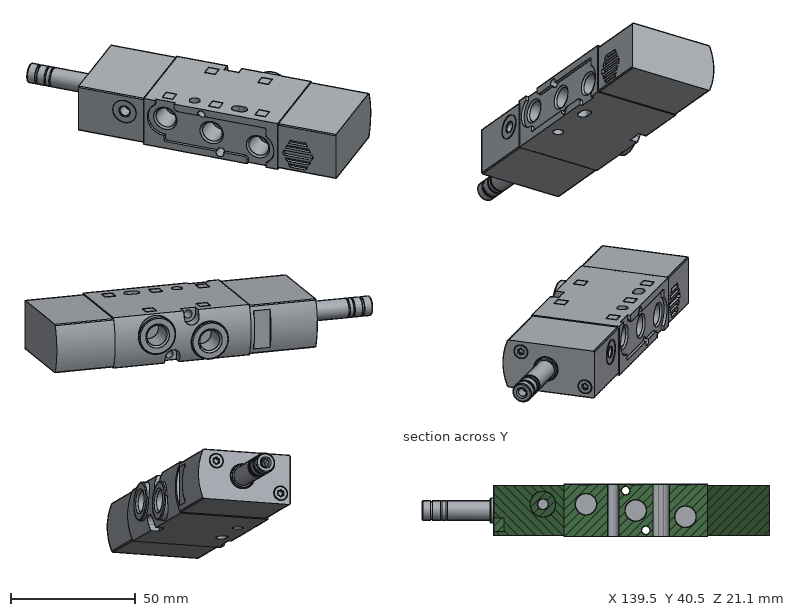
import cadquery as cq
import math


overall_length = 139.5
overall_depth = 40.5
body_length = 57.8
body_height = 21.1
pilot_length = 28.2
cap_length = 24.8
back_apex = 39.5
back_sag = 2.2

end_inset = 0.4
end_edge_chamfer = 0.4

port_dia = 8.5
port_mouth_dia = 10.0
port_depth = 11.2
inlet_pitch = 20.0
inlet_step = 2.5
outlet_pitch = 22.5
outlet_z = 2.1
boss_dia = 15.6
boss_chamfer = 0.4

gasket_depth = 1.3
gasket_ring_radius = 7.3
gasket_half_height = 7.4
gasket_mouth = (15.8, 23.9)
gasket_corner = 0.8
gasket_mouth_bevel = 1.1

through_dia = 3.3
through_x = 4.0
through_z = 8.0
seat_width = 6.3
seat_depth_y = 33.8

cross_dia = 4.3
cross_y = 5.9
cross_hole_x = -9.1
cross_slot_x = 10.2
cross_slot_length = 6.4

label_size = 4.5
label_depth = 0.1
outlet_label_y = 31.1
outlet_label_pitch = 22.9

slot_x_from_body = 5.0
slot_width = 7.0
slot_depth = 1.3

plug_dia = 10.0
plug_length = 7.0
plug_sink = 0.3
plug_x_from_body = 8.4
plug_z = inlet_step
plug_hole_dia = 4.2
plug_hole_mouth = 4.9
plug_hole_depth = 5.6

screw_dia = 5.9
screw_length = 4.2
screw_rim_chamfer = 0.21
screw_places = [(31.8, 5.7), (4.5, -5.7)]
socket_core_dia = 2.1
socket_lobe_dia = 0.9
socket_tip_dia = 3.0
socket_depth = 1.4
socket_lobes = 6

stem_y = 21.0
stem_dia = 8.0
stem_tip_chamfer = 0.4
collar_dia = 10.0
collar_length = 1.4
collar_chamfer = 0.4
clip_groove = (3.5, 4.3)
clip_groove_dia = 7.1
crimp_starts = (7.5, 9.6)
crimp_width = 0.5
crimp_dia = 7.7
stem_bore_dia = 3.3
stem_bore_mouth = 4.6
stem_bore_depth = 5.6
stem_pilot_hole_dia = 2.0
stem_pilot_hole_depth = 8.4

vent_x_from_body = 8.5
vent_z = -inlet_step
vent_half_width = 6.5
vent_top_half_width = 3.3
vent_half_height = 6.1
vent_depth = 1.4
vent_rows = [(0.0, 2.2), (3.0, 1.4), (5.5, 1.5)]

body_left = -body_length / 2
body_right = body_length / 2
pilot_left = body_left - pilot_length
plug_x = body_left - plug_x_from_body
stem_length = overall_length - body_length - pilot_length - cap_length
half_height = body_height / 2
back_edge = back_apex - back_sag
back_radius = (half_height**2 + back_sag**2) / (2 * back_sag)
inlets = [(i * inlet_pitch, -i * inlet_step) for i in (-1, 0, 1)]
outlets = [(side * outlet_pitch / 2, side * outlet_z) for side in (-1, 1)]
through_holes = [(-through_x, through_z), (through_x, -through_z)]
beyond = 1.4


def back_y(z):
    """Y of the curved back at height z."""
    return back_apex - back_radius + math.sqrt(back_radius**2 - z**2)


def bar(x_start, length, inset):
    """Bar along X with a flat front and a crowned back."""
    h = half_height - inset
    return (
        cq.Workplane("YZ", origin=(x_start, 0, 0))
        .moveTo(back_y(h), -h)
        .lineTo(inset, -h)
        .lineTo(inset, h)
        .lineTo(back_y(h), h)
        .threePointArc((back_apex, 0), (back_y(h), -h))
        .close()
        .extrude(length)
    )


def end_block(x_start, length):
    """Pilot or cap blank: inset bar with bevelled long edges."""
    return bar(x_start, length, end_inset).edges("|X").chamfer(end_edge_chamfer)


def along_y(x, z, y_start):
    """Sketch plane at y_start whose extrusions run toward +Y, with local axes X and -Z."""
    return cq.Workplane(cq.Plane((x, y_start, z), (1, 0, 0), (0, 1, 0)))


def turned(profile, origin, axis):
    """Solid of revolution from (distance along axis, radius) points."""
    radial = (0, 0, 1)
    plane = cq.Plane(origin, axis, cq.Vector(*axis).cross(cq.Vector(*radial)))
    return cq.Workplane(plane).polyline(profile).close().revolve(360, (0, 0, 0), (1, 0, 0))


def bevelled_hole(origin, axis, dia, mouth_dia, depth):
    """Cutter for a blind hole with a 45 degree mouth bevel."""
    bevel = (mouth_dia - dia) / 2
    profile = [(0, 0), (0, mouth_dia / 2), (bevel, dia / 2), (depth, dia / 2), (depth, 0)]
    return turned(profile, origin, axis)


def gasket_recess():
    mouth_in, mouth_out = gasket_mouth
    ring_x, ring_z = inlet_pitch, inlet_step
    side = ring_z + math.sqrt(gasket_ring_radius**2 - (mouth_out - ring_x)**2)
    ring_end = ring_x + gasket_ring_radius
    wall_z = side - 2 * ring_z
    mouth_z = half_height + beyond
    bevel = gasket_mouth_bevel
    h = gasket_half_height
    recess = (
        cq.Workplane("XZ")
        .moveTo(-mouth_in, mouth_z)
        .lineTo(-mouth_out, mouth_z)
        .lineTo(-mouth_out, side)
        .threePointArc((-ring_end, ring_z), (-ring_x, ring_z - gasket_ring_radius))
        .lineTo(-ring_x, -h)
        .lineTo(mouth_in - bevel, -h)
        .lineTo(mouth_in, -h - bevel)
        .lineTo(mouth_in, -mouth_z)
        .lineTo(mouth_out, -mouth_z)
        .lineTo(mouth_out, -side)
        .threePointArc((ring_end, -ring_z), (mouth_out, wall_z))
        .lineTo(mouth_out, h)
        .lineTo(-mouth_in + bevel, h)
        .lineTo(-mouth_in, h + bevel)
        .close()
        .extrude(-gasket_depth)
    )
    for x, z in ((-ring_x, -h), (mouth_out, h)):
        recess = recess.edges(cq.NearestToPointSelector((x, gasket_depth / 2, z))).fillet(gasket_corner)
    return recess


def through_hole_cutter(x, z):
    """Hole along Y whose back end widens into a seat open to the nearer long face."""
    outward = math.copysign(1, z)
    reach = half_height + beyond - abs(z)
    seat_length = overall_depth + beyond - seat_depth_y
    hole = along_y(x, z, -beyond).circle(through_dia / 2).extrude(overall_depth)
    seat = along_y(x, z, seat_depth_y).circle(seat_width / 2).extrude(seat_length)
    opening = cq.Workplane("XY").box(seat_width, seat_length, reach, centered=(True, False, True))
    opening = opening.translate((x, seat_depth_y, z + outward * reach / 2))
    return hole.union(seat).union(opening)


def label_pocket(x, y):
    return (
        cq.Workplane("XY", origin=(x, y, half_height - label_depth))
        .rect(label_size, label_size)
        .extrude(label_depth + beyond)
    )


def make_body():
    body = bar(body_left, body_length, 0)
    for x, z in outlets:
        boss_start = back_edge - beyond
        boss = along_y(x, z, boss_start).circle(boss_dia / 2).extrude(overall_depth - boss_start)
        body = body.union(boss.faces(">Y").chamfer(boss_chamfer))
    body = body.cut(gasket_recess())
    for x, z in inlets:
        origin = (x, gasket_depth, z)
        body = body.cut(bevelled_hole(origin, (0, 1, 0), port_dia, port_mouth_dia, port_depth))
    for x, z in outlets:
        origin = (x, overall_depth, z)
        body = body.cut(bevelled_hole(origin, (0, -1, 0), port_dia, port_mouth_dia, port_depth))
    for x, z in through_holes:
        body = body.cut(through_hole_cutter(x, z))
    bottom = cq.Workplane("XY", origin=(0, cross_y, -half_height))
    body = body.cut(bottom.center(cross_hole_x, 0).circle(cross_dia / 2).extrude(body_height))
    body = body.cut(bottom.center(cross_slot_x, 0).slot2D(cross_slot_length, cross_dia).extrude(body_height))
    for x, _ in inlets:
        body = body.cut(label_pocket(x, cross_y))
    for x in (-outlet_label_pitch / 2, outlet_label_pitch / 2):
        body = body.cut(label_pocket(x, outlet_label_y))
    return body


def screw_blank(y, z):
    return cq.Workplane("YZ", origin=(pilot_left, y, z)).circle(screw_dia / 2).extrude(screw_length)


def make_pilot():
    pilot = end_block(pilot_left, pilot_length)
    slot = cq.Workplane("XY").box(slot_width, 2 * slot_depth, body_height)
    pilot = pilot.cut(slot.translate((body_left - slot_x_from_body, back_apex, 0)))
    plug_end = end_inset + plug_sink + plug_length
    pilot = pilot.cut(along_y(plug_x, plug_z, 0).circle(plug_dia / 2).extrude(plug_end))
    for y, z in screw_places:
        pilot = pilot.cut(screw_blank(y, z))
    return pilot


def make_plug():
    face = end_inset + plug_sink
    plug = along_y(plug_x, plug_z, face).circle(plug_dia / 2).extrude(plug_length)
    hole = bevelled_hole((plug_x, face, plug_z), (0, 1, 0), plug_hole_dia, plug_hole_mouth, plug_hole_depth)
    return plug.cut(hole)


def make_screw(y, z):
    """Round-headed screw, flush with the pilot face, with a six-lobed socket."""
    face = cq.Workplane("YZ", origin=(pilot_left, y, z))
    socket = face.circle(socket_core_dia / 2).extrude(socket_depth)
    lobe_circle = (socket_tip_dia - socket_lobe_dia) / 2
    lobes = (
        face.polarArray(lobe_circle, 90, 360, socket_lobes)
        .circle(socket_lobe_dia / 2)
        .extrude(socket_depth)
    )
    screw = screw_blank(y, z).faces("<X").chamfer(screw_rim_chamfer)
    return screw.cut(socket.union(lobes))


def make_stem():
    tip = (pilot_left - stem_length, stem_y, 0)
    axis = (1, 0, 0)
    r = stem_dia / 2
    collar_r = collar_dia / 2
    collar_start = stem_length - collar_length
    stem = turned(
        [
            (0, 0),
            (0, r - stem_tip_chamfer),
            (stem_tip_chamfer, r),
            (collar_start, r),
            (collar_start, collar_r - collar_chamfer),
            (collar_start + collar_chamfer, collar_r),
            (stem_length, collar_r),
            (stem_length, 0),
        ],
        tip,
        axis,
    )
    grooves = [(*clip_groove, clip_groove_dia)]
    grooves += [(start, start + crimp_width, crimp_dia) for start in crimp_starts]
    for start, end, floor_dia in grooves:
        floor = floor_dia / 2
        stem = stem.cut(turned([(start, floor), (start, collar_r), (end, collar_r), (end, floor)], tip, axis))
    stem = stem.cut(bevelled_hole(tip, axis, stem_bore_dia, stem_bore_mouth, stem_bore_depth))
    cone_length = (stem_bore_dia - stem_pilot_hole_dia) / 2
    bore_end = [
        (stem_bore_depth, 0),
        (stem_bore_depth, stem_bore_dia / 2),
        (stem_bore_depth + cone_length, stem_pilot_hole_dia / 2),
        (stem_pilot_hole_depth, stem_pilot_hole_dia / 2),
        (stem_pilot_hole_depth, 0),
    ]
    return stem.cut(turned(bore_end, tip, axis))


def make_cap():
    vent_x = body_right + vent_x_from_body
    hexagon = (
        along_y(vent_x, vent_z, 0)
        .polyline(
            [
                (vent_half_width, 0),
                (vent_top_half_width, vent_half_height),
                (-vent_top_half_width, vent_half_height),
                (-vent_half_width, 0),
                (-vent_top_half_width, -vent_half_height),
                (vent_top_half_width, -vent_half_height),
            ]
        )
        .close()
        .extrude(end_inset + vent_depth)
    )
    cap = end_block(body_right, cap_length)
    for offset, height in vent_rows:
        for z in {vent_z + offset, vent_z - offset}:
            row = cq.Workplane("XY").box(cap_length, overall_depth, height).translate((vent_x, 0, z))
            cap = cap.cut(hexagon.intersect(row))
    return cap


body = make_body()
pilot = make_pilot()
cap = make_cap()
stem = make_stem()
plug = make_plug()
screws = [make_screw(y, z) for y, z in screw_places]

result = cq.Compound.makeCompound(
    [body.val(), pilot.val(), cap.val(), stem.val(), plug.val(), *[screw.val() for screw in screws]]
)